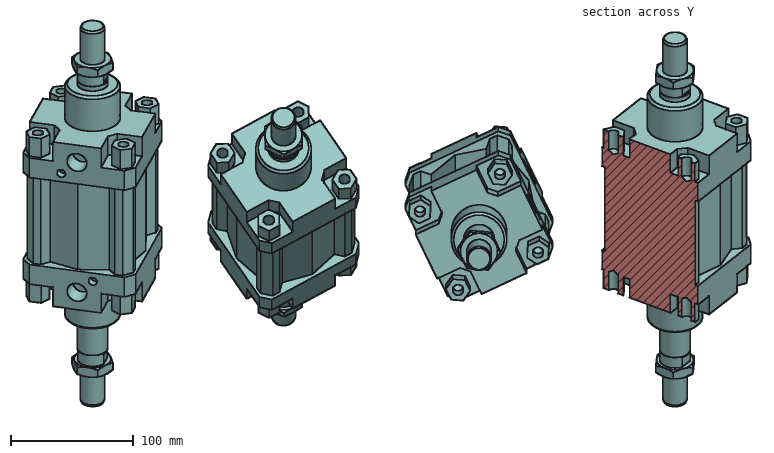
import cadquery as cq
import math

head_side = 95.0
head_height = 36.0
head_corner_chamfer = 7.5
housing_length = 153.3
head_face_z = housing_length / 2
barrel_end_z = head_face_z - head_height

barrel_half = 44.8
barrel_corner_chamfer = 7.0
column_inner_edge = 31.0
side_recess = 6.3

pocket_inner_edge = 20.3
pocket_chamfer = 6.3
pocket_depth = 18.0
tie_rod_offset = 36.0
tie_nut_flats = 17.0
tie_nut_corners = tie_nut_flats / math.cos(math.pi / 6)
tie_hole_diameter = 8.8
drill_half_angle = math.radians(59)
drill_point_height = tie_hole_diameter / 2 / math.tan(drill_half_angle)

port_diameter = 16.5
port_inset = 16.0
port_depth = 16.5
screw_hole_diameter = 7.0
screw_hole_inset = 28.5
screw_hole_offset = 13.3
screw_hole_depth = 7.0

boss_diameter = 45.0
boss_height = 32.0
boss_chamfer = 2.0
boss_face_z = head_face_z + boss_height

rod_diameter = 25.2
neck_diameter = 25.0
neck_length = 10.0
thread_diameter = 20.0
thread_length = 39.5
tip_chamfer_length = 2.0
tip_chamfer_width = 1.0
retracted_neck = 14.5
stroke = 25.2
wrench_flats = 22.0
wrench_flat_length = 9.5
upper_shoulder_z = boss_face_z + retracted_neck
lower_shoulder_z = -(boss_face_z + retracted_neck + stroke)

lock_nut_flats = 30.0
lock_nut_corners = lock_nut_flats / math.cos(math.pi / 6)
lock_nut_thickness = 8.8
lock_nut_face_diameter = lock_nut_flats
lock_nut_chamfer_angle = math.radians(30)


def make_head():
    """Upper head with its pockets, tie-rod nuts, boss and port."""
    head = (
        cq.Workplane("XY", origin=(0, 0, barrel_end_z))
        .rect(head_side, head_side)
        .extrude(head_height)
        .edges("|Z")
        .chamfer(head_corner_chamfer)
    )
    for index in range(4):
        head = head.cut(make_corner_pocket().rotate((0, 0, 0), (0, 0, 1), 90 * index))
    for index in range(4):
        head = add_tie_nut(head, 90 * index)
    boss = (
        cq.Workplane("XY", origin=(0, 0, head_face_z))
        .circle(boss_diameter / 2)
        .extrude(boss_height)
        .faces(">Z")
        .chamfer(boss_chamfer)
    )
    port = make_side_hole(0, port_inset, port_diameter, port_depth)
    return head.union(boss).cut(port)


def make_corner_pocket():
    """Pocket in the +X +Y corner, its inner corner cut off at 45 degrees."""
    outer = head_side
    start = pocket_inner_edge
    return (
        cq.Workplane("XY", origin=(0, 0, head_face_z - pocket_depth))
        .polyline([
            (start + pocket_chamfer, start),
            (outer, start),
            (outer, outer),
            (start, outer),
            (start, start + pocket_chamfer),
        ])
        .close()
        .extrude(pocket_depth)
    )


def add_tie_nut(head, angle):
    """Hexagonal tie-rod nut with a drilled centre, turned with its corner."""
    nut = (
        cq.Workplane("XY", origin=(0, 0, head_face_z - pocket_depth))
        .center(tie_rod_offset, tie_rod_offset)
        .polygon(6, tie_nut_corners)
        .extrude(pocket_depth)
    )
    floor_z = head_face_z - pocket_depth
    drill = (
        cq.Workplane("XZ")
        .polyline([
            (0, floor_z - drill_point_height),
            (tie_hole_diameter / 2, floor_z),
            (tie_hole_diameter / 2, head_face_z),
            (0, head_face_z),
        ])
        .close()
        .revolve(360, (0, 0), (0, 1))
        .translate((tie_rod_offset, tie_rod_offset, 0))
    )
    nut = nut.rotate((0, 0, 0), (0, 0, 1), angle)
    drill = drill.rotate((0, 0, 0), (0, 0, 1), angle)
    return head.union(nut).cut(drill)


def make_side_hole(x, inset, diameter, depth):
    """Cutter entering the -Y side of the upper head, inset from its outer face."""
    return (
        cq.Workplane("XZ", origin=(x, -head_side / 2, head_face_z - inset))
        .circle(diameter / 2)
        .extrude(-depth)
    )


def make_barrel():
    """Barrel between the heads; one side's outline is turned onto all four sides."""
    column_outer_edge = barrel_half - barrel_corner_chamfer
    recess_foot = column_inner_edge - side_recess
    side = [
        (column_outer_edge, barrel_half),
        (column_inner_edge, barrel_half),
        (recess_foot, barrel_half - side_recess),
        (0, barrel_half),
        (-recess_foot, barrel_half - side_recess),
        (-column_inner_edge, barrel_half),
        (-column_outer_edge, barrel_half),
    ]
    outline = list(side)
    for _ in range(3):
        side = [(-y, x) for x, y in side]
        outline += side
    return (
        cq.Workplane("XY", origin=(0, 0, -barrel_end_z))
        .polyline(outline)
        .close()
        .extrude(2 * barrel_end_z)
    )


def make_housing():
    """Barrel with a head at each end, bored through for the rod."""
    upper_head = make_head()
    lower_head = upper_head.mirror("XY")
    screw_hole = make_side_hole(
        -screw_hole_offset, screw_hole_inset, screw_hole_diameter, screw_hole_depth
    )
    opposite_screw_hole = screw_hole.rotate((0, 0, 0), (0, 1, 0), 180)
    rod_bore = (
        cq.Workplane("XY", origin=(0, 0, -boss_face_z))
        .circle(rod_diameter / 2)
        .extrude(2 * boss_face_z)
    )
    return (
        make_barrel()
        .union(upper_head)
        .union(lower_head)
        .cut(screw_hole)
        .cut(opposite_screw_hole)
        .cut(rod_bore)
    )


def make_rod():
    """Through rod with a stepped neck, wrench flats and a threaded tip at each end."""
    rod_radius = rod_diameter / 2
    neck_radius = neck_diameter / 2
    thread_radius = thread_diameter / 2
    tip_radius = thread_radius - tip_chamfer_width
    top_z = upper_shoulder_z + thread_length
    bottom_z = lower_shoulder_z - thread_length
    rod = (
        cq.Workplane("XZ")
        .polyline([
            (0, bottom_z),
            (tip_radius, bottom_z),
            (thread_radius, bottom_z + tip_chamfer_length),
            (thread_radius, lower_shoulder_z),
            (neck_radius, lower_shoulder_z),
            (neck_radius, lower_shoulder_z + neck_length),
            (rod_radius, lower_shoulder_z + neck_length),
            (rod_radius, upper_shoulder_z - neck_length),
            (neck_radius, upper_shoulder_z - neck_length),
            (neck_radius, upper_shoulder_z),
            (thread_radius, upper_shoulder_z),
            (thread_radius, top_z - tip_chamfer_length),
            (tip_radius, top_z),
            (0, top_z),
        ])
        .close()
        .revolve(360, (0, 0), (0, 1))
    )
    for flats_start_z in (upper_shoulder_z - wrench_flat_length, lower_shoulder_z):
        for side in (-1, 1):
            cutter = (
                cq.Workplane("XY", origin=(0, 0, flats_start_z))
                .center(side * (wrench_flats + rod_diameter) / 2, 0)
                .rect(rod_diameter, rod_diameter)
                .extrude(wrench_flat_length)
            )
            rod = rod.cut(cutter)
    return rod


def make_lock_nut(base_z):
    """Hexagonal lock nut with 30 degree corner chamfers on both faces."""
    blank = cq.Workplane("XY").polygon(6, lock_nut_corners).extrude(lock_nut_thickness)
    corner_radius = lock_nut_corners / 2
    face_radius = lock_nut_face_diameter / 2
    chamfer_height = (corner_radius - face_radius) * math.tan(lock_nut_chamfer_angle)
    chamfer_body = (
        cq.Workplane("XZ")
        .polyline([
            (0, 0),
            (face_radius, 0),
            (corner_radius, chamfer_height),
            (corner_radius, lock_nut_thickness - chamfer_height),
            (face_radius, lock_nut_thickness),
            (0, lock_nut_thickness),
        ])
        .close()
        .revolve(360, (0, 0), (0, 1))
    )
    bore = cq.Workplane("XY").circle(thread_diameter / 2).extrude(lock_nut_thickness)
    return blank.intersect(chamfer_body).cut(bore).translate((0, 0, base_z))


housing = make_housing()
rod = make_rod()
lock_nuts = [
    make_lock_nut(base_z)
    for base_z in (upper_shoulder_z, lower_shoulder_z - lock_nut_thickness)
]

result = cq.Compound.makeCompound([
    housing.val(),
    rod.val(),
    *[nut.val() for nut in lock_nuts],
])